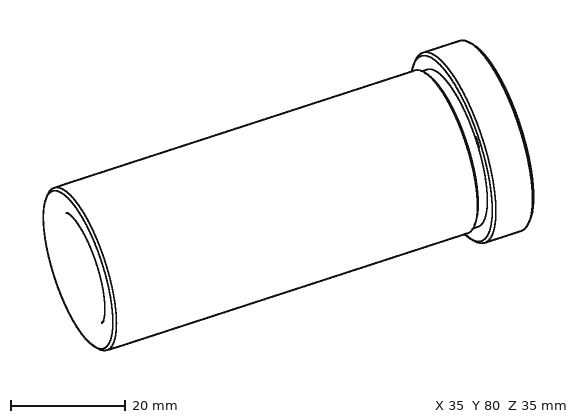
import cadquery as cq

length = 80.0
head_diameter = 35.0
head_length = 8.0
head_chamfer = 0.5
body_diameter = 30.0
bore_diameter = 20.0
bore_rounding = 1.5

groove_diameter = 29.0
groove_width = 1.5
groove_edge_chamfer = 0.4

undercut_diameter = 31.5
undercut_depth = 0.2

lead_diameter = 29.9
lead_length = 3.0
lead_chamfer = 0.5

front_y = -length / 2
back_y = length / 2
head_front_y = back_y - head_length
groove_front_y = head_front_y - groove_width
lead_back_y = front_y + lead_length

head_radius = head_diameter / 2
body_radius = body_diameter / 2
groove_radius = groove_diameter / 2
undercut_radius = undercut_diameter / 2
lead_radius = lead_diameter / 2
bore_radius = bore_diameter / 2


def make_outer_body():
    """Revolve the stepped outer half-profile about the Y axis."""
    profile = (
        cq.Workplane("XY")
        .moveTo(0, front_y)
        .lineTo(lead_radius - lead_chamfer, front_y)
        .lineTo(lead_radius, front_y + lead_chamfer)
        .lineTo(body_radius, lead_back_y)
        .lineTo(body_radius, groove_front_y - groove_edge_chamfer)
        .lineTo(groove_radius, groove_front_y)
        .lineTo(groove_radius, head_front_y + undercut_depth)
        .lineTo(body_radius, head_front_y + undercut_depth)
        .lineTo(undercut_radius, head_front_y)
        .lineTo(head_radius - head_chamfer, head_front_y)
        .lineTo(head_radius, head_front_y + head_chamfer)
        .lineTo(head_radius, back_y - head_chamfer)
        .lineTo(head_radius - head_chamfer, back_y)
        .lineTo(0, back_y)
        .close()
    )
    return profile.revolve(360, (0, 0, 0), (0, 1, 0))


def make_bore():
    """Through bore that flares with a convex rounding at the front end."""
    profile = (
        cq.Workplane("XY")
        .moveTo(0, front_y)
        .lineTo(bore_radius + bore_rounding, front_y)
        .radiusArc((bore_radius, front_y + bore_rounding), bore_rounding)
        .lineTo(bore_radius, back_y)
        .lineTo(0, back_y)
        .close()
    )
    return profile.revolve(360, (0, 0, 0), (0, 1, 0))


result = make_outer_body().cut(make_bore())